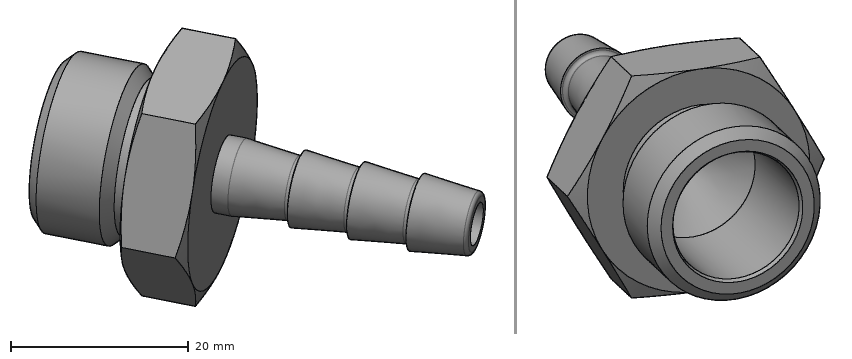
import cadquery as cq
import math


thread_radius = 10.5
thread_chamfer = 1.2
thread_end = 8.65
undercut_radius = 9.15
undercut_start = 10.0

hex_start = 12.0
hex_length = 8.0
hex_across_flats = 27.0
hex_chamfer_angle = 22.0
hex_end = hex_start + hex_length

barb_count = 4
barb_length = 7.0
barb_large_radius = 4.5
barb_small_radius = 3.7
barb_rounding = 0.5
face_search_margin = 0.05
total_length = 50.0
tail_start = total_length - barb_count * barb_length

wide_bore_radius = 7.65
wide_bore_depth = 14.0
mouth_chamfer_radial = 0.25
mouth_chamfer_depth = 0.5
narrow_bore_radius = 2.5
bore_cone_angle = 90.0


def revolve_about_x(profile_points):
    """Turn a closed (x, radius) outline into a solid about the X axis."""
    return (
        cq.Workplane("XY")
        .polyline(profile_points)
        .close()
        .revolve(360, (0, 0, 0), (1, 0, 0))
    )


def make_spigot():
    """Threaded spigot and undercut, with a core running on through the hexagon."""
    return revolve_about_x([
        (0, 0),
        (0, thread_radius - thread_chamfer),
        (thread_chamfer, thread_radius),
        (thread_end, thread_radius),
        (undercut_start, undercut_radius),
        (hex_end, undercut_radius),
        (hex_end, 0),
    ])


def make_hexagon():
    """Hexagonal prism whose corners are turned down to a cone at both ends."""
    flat_radius = hex_across_flats / 2
    corner_radius = flat_radius / math.cos(math.pi / 6)
    chamfer_depth = (corner_radius - flat_radius) * math.tan(math.radians(hex_chamfer_angle))
    prism = (
        cq.Workplane("YZ", origin=(hex_start, 0, 0))
        .polygon(6, 2 * corner_radius)
        .extrude(hex_length)
    )
    corner_envelope = revolve_about_x([
        (hex_start, 0),
        (hex_start, flat_radius),
        (hex_start + chamfer_depth, corner_radius),
        (hex_end - chamfer_depth, corner_radius),
        (hex_end, flat_radius),
        (hex_end, 0),
    ])
    return prism.intersect(corner_envelope)


def make_hose_tail():
    """Neck and barbs, rounded at the root of each step and at the free end."""
    outline = [(hex_start, 0), (hex_start, barb_large_radius)]
    for index in range(barb_count):
        barb_start = tail_start + index * barb_length
        outline.append((barb_start, barb_large_radius))
        outline.append((barb_start + barb_length, barb_small_radius))
    outline.append((total_length, 0))

    tail = revolve_about_x(outline)
    for index in range(1, barb_count + 1):
        barb_end = tail_start + index * barb_length
        step_face = cq.selectors.BoxSelector(
            (barb_end - face_search_margin, -face_search_margin, -face_search_margin),
            (barb_end + face_search_margin, face_search_margin, face_search_margin),
        )
        tail = tail.faces(step_face).edges(cq.selectors.RadiusNthSelector(0)).fillet(barb_rounding)
    return tail


def make_bore():
    """Solid filling the whole bore, including the countersunk mouth."""
    cone_half_angle = math.radians(bore_cone_angle / 2)
    cone_length = (wide_bore_radius - narrow_bore_radius) / math.tan(cone_half_angle)
    return revolve_about_x([
        (0, 0),
        (0, wide_bore_radius + mouth_chamfer_radial),
        (mouth_chamfer_depth, wide_bore_radius),
        (wide_bore_depth, wide_bore_radius),
        (wide_bore_depth + cone_length, narrow_bore_radius),
        (total_length, narrow_bore_radius),
        (total_length, 0),
    ])


result = make_spigot().union(make_hexagon()).union(make_hose_tail()).cut(make_bore())